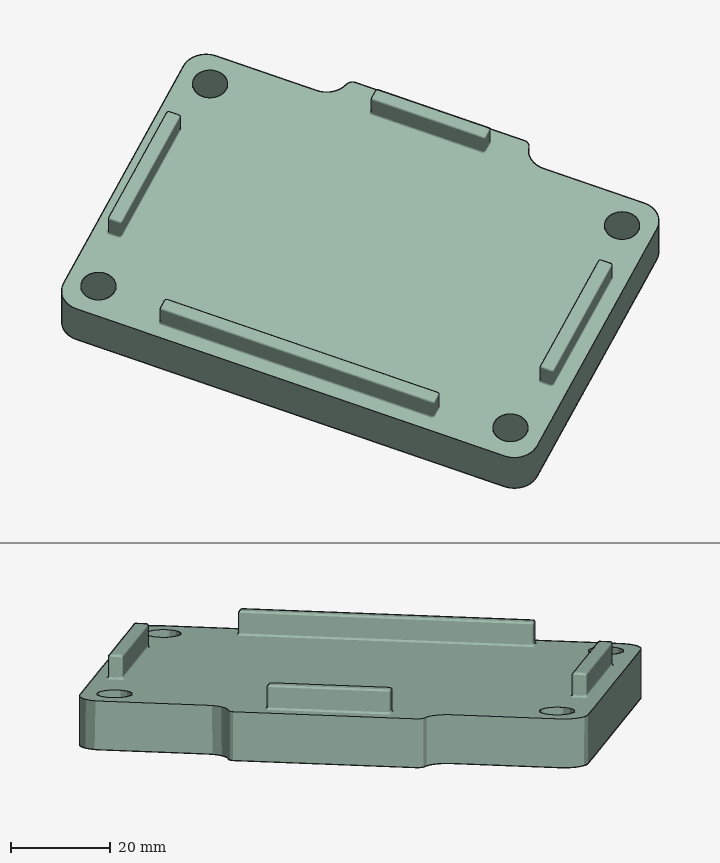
import cadquery as cq
import math

length = 103.5
total_depth = 75.0
tab_reach = 5.0
plate_thickness = 10.0
corner_radius = 5.0

tab_width = 39.6
tip_radius = 1.6
root_radius = tab_reach

hole_diameter = 7.0
hole_spacing_x = 90.0
hole_inset_y = 7.0

rib_height = 5.0
rib_width = 3.0
front_rib_length = 60.0
back_rib_length = 25.0
side_rib_length = 30.0
side_rib_inset = 4.6
end_rib_inset = 4.7
rib_fillet = 0.5

plate_depth = total_depth - tab_reach
front_y = -total_depth / 2
back_y = total_depth / 2
shoulder_y = back_y - tab_reach
plate_center_y = (front_y + shoulder_y) / 2


def make_plate():
    return (
        cq.Workplane("XY")
        .center(0, plate_center_y)
        .rect(length, plate_depth)
        .extrude(plate_thickness)
        .edges("|Z")
        .fillet(corner_radius)
    )


def make_tab():
    """Tab with S-shaped flanks: tip and root arcs touch each other tangentially."""
    root_x = tab_width / 2 + root_radius
    root_center_y = shoulder_y + root_radius
    tip_center_y = back_y - tip_radius
    center_distance = root_radius + tip_radius
    rise = root_center_y - tip_center_y
    run = math.sqrt(center_distance**2 - rise**2)
    tip_x = root_x - run

    meet_x = tip_x + run * tip_radius / center_distance
    meet_y = tip_center_y + rise * tip_radius / center_distance

    half_sweep = math.acos(rise / center_distance) / 2
    tip_mid_x = tip_x + tip_radius * math.sin(half_sweep)
    tip_mid_y = tip_center_y + tip_radius * math.cos(half_sweep)
    root_mid_x = root_x - root_radius * math.sin(half_sweep)
    root_mid_y = root_center_y - root_radius * math.cos(half_sweep)

    return (
        cq.Workplane("XY")
        .moveTo(-tip_x, back_y)
        .lineTo(tip_x, back_y)
        .threePointArc((tip_mid_x, tip_mid_y), (meet_x, meet_y))
        .threePointArc((root_mid_x, root_mid_y), (root_x, shoulder_y))
        .lineTo(root_x, plate_center_y)
        .lineTo(-root_x, plate_center_y)
        .lineTo(-root_x, shoulder_y)
        .threePointArc((-root_mid_x, root_mid_y), (-meet_x, meet_y))
        .threePointArc((-tip_mid_x, tip_mid_y), (-tip_x, back_y))
        .close()
        .extrude(plate_thickness)
    )


def drill_holes(body):
    """Four holes through the plate, symmetric about its centre."""
    hole_spacing_y = plate_depth - 2 * hole_inset_y
    holes = (
        cq.Workplane("XY")
        .center(0, plate_center_y)
        .rect(hole_spacing_x, hole_spacing_y, forConstruction=True)
        .vertices()
        .circle(hole_diameter / 2)
        .extrude(plate_thickness)
    )
    return body.cut(holes)


def make_rib(size_x, size_y):
    """Upright rib, standing on z = 0, with rounded vertical and top edges."""
    return (
        cq.Workplane("XY")
        .rect(size_x, size_y)
        .extrude(rib_height)
        .edges("|Z or >Z")
        .fillet(rib_fillet)
    )


def add_ribs(body):
    """Four ribs near the plate edges, each blended into the top face by a concave fillet."""
    side_rib_x = length / 2 - side_rib_inset
    ribs = [
        (front_rib_length, rib_width, 0, front_y + end_rib_inset),
        (back_rib_length, rib_width, 0, back_y - end_rib_inset),
        (rib_width, side_rib_length, -side_rib_x, plate_center_y),
        (rib_width, side_rib_length, side_rib_x, plate_center_y),
    ]
    reach = rib_fillet / 2
    for size_x, size_y, x, y in ribs:
        body = body.union(make_rib(size_x, size_y).translate((x, y, plate_thickness)))
        foot_edges = cq.selectors.BoxSelector(
            (x - size_x / 2 - reach, y - size_y / 2 - reach, plate_thickness - reach),
            (x + size_x / 2 + reach, y + size_y / 2 + reach, plate_thickness + reach),
            boundingbox=True,
        )
        body = body.edges(foot_edges).fillet(rib_fillet)
    return body


result = add_ribs(drill_holes(make_plate().union(make_tab())))